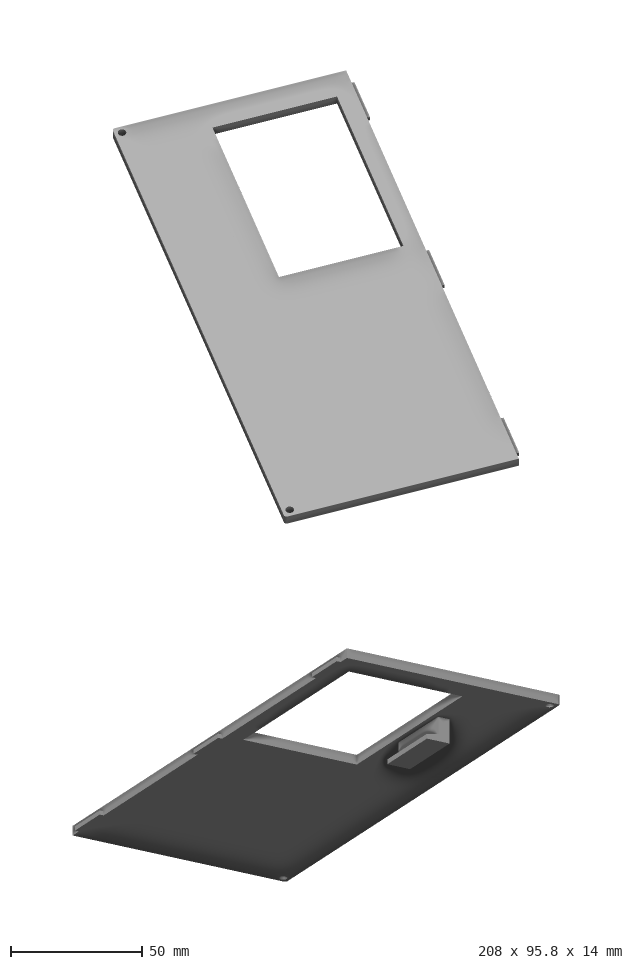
import cadquery as cq

PLATE_LENGTH = 208.0
PLATE_DEPTH = 94.0
PLATE_THICKNESS = 4.0
FRONT_CORNER_RADIUS = 1.0

WINDOW_LENGTH = 80.0
WINDOW_DEPTH = 50.0
WINDOW_LEFT = 11.5
WINDOW_FRONT = 36.5

SCREW_HOLE_DIAMETER = 3.25
SCREW_HOLE_INSET = 3.0

TAB_LENGTH = 18.75
TAB_PROJECTION = 1.75
TAB_THICKNESS = 1.75
TAB_END_MARGIN = 4.75
TAB_COUNT = 3

HOOK_LEFT = 34.0
HOOK_LENGTH = 30.0
HOOK_DROP = 10.0
STEM_FRONT = 29.0
STEM_THICKNESS = 5.0
ARM_REACH = 5.0
ARM_TIP_FLAT = 1.0
ARM_TIP_HEIGHT = 2.0
ARM_ROOT_HEIGHT = 3.0


def make_plate():
    """Flat plate with its two front corners rounded."""
    plate = cq.Workplane("XY").box(PLATE_LENGTH, PLATE_DEPTH, PLATE_THICKNESS, centered=False)
    return plate.edges("|Z and <Y").fillet(FRONT_CORNER_RADIUS)


def make_window():
    """Cutting block for the rectangular window."""
    window = cq.Workplane("XY").box(WINDOW_LENGTH, WINDOW_DEPTH, PLATE_THICKNESS, centered=False)
    return window.translate((WINDOW_LEFT, WINDOW_FRONT, 0))


def make_screw_holes():
    """Cutting cylinders for the front corner screw holes."""
    centers = [
        (SCREW_HOLE_INSET, SCREW_HOLE_INSET),
        (PLATE_LENGTH - SCREW_HOLE_INSET, SCREW_HOLE_INSET),
    ]
    return cq.Workplane("XY").pushPoints(centers).circle(SCREW_HOLE_DIAMETER / 2).extrude(PLATE_THICKNESS)


def make_tab(left):
    """One tab on the rear edge, starting at the given X."""
    tab = cq.Workplane("XY").box(TAB_LENGTH, TAB_PROJECTION, TAB_THICKNESS, centered=False)
    return tab.translate((left, PLATE_DEPTH, 0))


def make_hook():
    """Hook profile in the YZ plane, extruded along X."""
    stem_rear = STEM_FRONT + STEM_THICKNESS
    arm_tip = stem_rear + ARM_REACH
    profile = [
        (STEM_FRONT, 0),
        (STEM_FRONT, -HOOK_DROP),
        (arm_tip, -HOOK_DROP),
        (arm_tip, ARM_TIP_HEIGHT - HOOK_DROP),
        (arm_tip - ARM_TIP_FLAT, ARM_TIP_HEIGHT - HOOK_DROP),
        (stem_rear, ARM_ROOT_HEIGHT - HOOK_DROP),
        (stem_rear, 0),
    ]
    return cq.Workplane("YZ").workplane(offset=HOOK_LEFT).polyline(profile).close().extrude(HOOK_LENGTH)


result = make_plate().cut(make_window()).cut(make_screw_holes())

tab_pitch = (PLATE_LENGTH - 2 * TAB_END_MARGIN - TAB_LENGTH) / (TAB_COUNT - 1)
for tab_index in range(TAB_COUNT):
    result = result.union(make_tab(TAB_END_MARGIN + tab_index * tab_pitch))

result = result.union(make_hook())